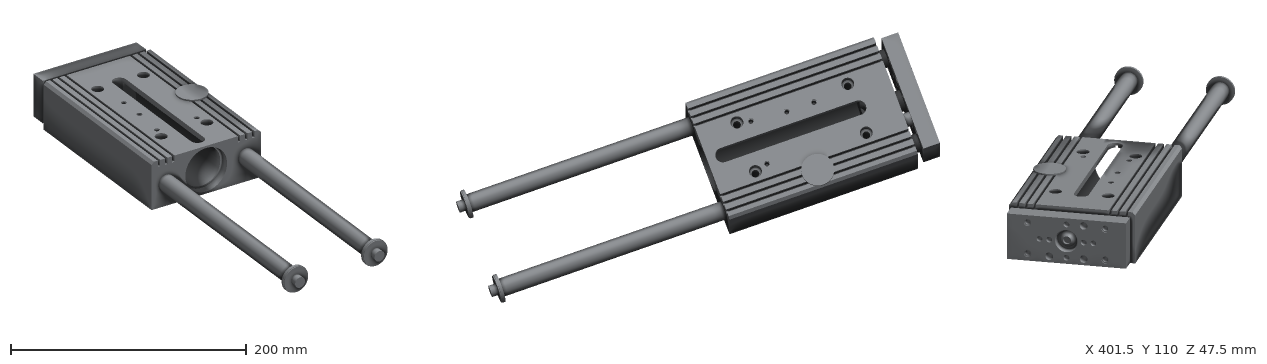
import cadquery as cq


housing_length = 170
housing_width = 110
housing_height = 46
housing_front = 21
housing_mid = housing_front + housing_length / 2
housing_back = housing_front + housing_length
edge_chamfer = 2.5

groove_width = 2.4
groove_depth = 6
groove_pitch = 7.25
groove_first_y = 33
grooves_per_side = 3

cover_diameter = 28
cover_height = 1.5

axis_z = 23
guide_rod_y = 40
guide_rod_rise = 1
guide_rod_diameter = 16
piston_rod_diameter = 18.5
side_pin_diameter = 12
side_pin_y = 21
side_pin_z = 35.5
rod_insertion = 20
rod_pocket_end = housing_front + rod_insertion

bore_diameter = 38
bore_front = 51
bore_recess_diameter = 42
bore_recess_depth = 7.6
slot_width = 13
slot_front = 48
slot_back = 183.5

mount_spacing_x = 100
mount_spacing_y = 46
mount_hole_diameter = 6.6
mount_counterbore_diameter = 11
mount_counterbore_depth = 7
tap_mouth_diameter = 5.02
tap_mouth_depth = 1
tap_core_diameter = 4.13
tap_core_depth = 8
tap_positions = [
    (88.5, -17.5),
    (113, -17.5),
    (144.5, -20),
    (144.5, 20),
]

plate_thickness = 15
plate_width = 104
plate_height = 41
plate_hole_offset = 15
clearance_diameter = 6.75
vertical_tap_diameter = 5.1
inner_dowel_diameter = 5.02
outer_dowel_diameter = 4.92
outer_dowel_offset = 23.5
corner_offset_y = 33.8
corner_offset_z = 14
corner_hole_diameter = 4.92
corner_counterbore_diameter = 6.65
corner_counterbore_depth = 1

pocket_mouth_diameter = 20
pocket_mouth_depth = 0.75
pocket_depth = 6
stud_base_diameter = 14
stud_tip_diameter = 7
stud_height = 4
stud_hole_depth = 3

washer_start = 392
washer_diameter = 25
washer_thickness = 2.5
ring_diameter = 24
ring_thickness = 1
stub_diameter = 10
stub_end = 401.5


def x_cylinder(diameter, start, end, y, z):
    """Cylinder along X between two X positions."""
    return cq.Workplane("YZ", origin=(start, y, z)).circle(diameter / 2).extrude(end - start)


def x_cone(start_diameter, end_diameter, start, end):
    """Cone along the unit axis between two X positions."""
    return (
        cq.Workplane("YZ", origin=(start, 0, axis_z))
        .circle(start_diameter / 2)
        .workplane(offset=end - start)
        .circle(end_diameter / 2)
        .loft()
    )


def guide_rod_z(side):
    """Height of the guide rod on the +Y side (1) or the -Y side (-1)."""
    return axis_z + side * guide_rod_rise


def plate_hole(diameter, y, z, depth=plate_thickness):
    """Hole cutter entering the front face of the end plate at an offset from the plate centre."""
    return x_cylinder(diameter, 0, depth, y, axis_z + z)


def make_housing_block():
    block = (
        cq.Workplane("XY", origin=(housing_mid, 0, 0))
        .box(housing_length, housing_width, housing_height, centered=(True, True, False))
        .edges("|X and >Z")
        .chamfer(edge_chamfer)
    )
    for side in (-1, 1):
        for index in range(grooves_per_side):
            groove_y = side * (groove_first_y + index * groove_pitch)
            groove = cq.Workplane("XY", origin=(housing_mid, groove_y, housing_height - groove_depth)).box(
                housing_length, groove_width, groove_depth, centered=(True, True, False)
            )
            block = block.cut(groove)
    cover = (
        cq.Workplane("XY", origin=(housing_mid, guide_rod_y, housing_height))
        .circle(cover_diameter / 2)
        .extrude(cover_height)
    )
    return block.union(cover)


def cut_cylinder_bore(housing):
    bore = x_cylinder(bore_diameter, bore_front, housing_back, 0, axis_z)
    recess = x_cylinder(bore_recess_diameter, housing_back - bore_recess_depth, housing_back, 0, axis_z)
    slot = (
        cq.Workplane("XY", origin=((slot_front + slot_back) / 2, 0, axis_z))
        .slot2D(slot_back - slot_front, slot_width)
        .extrude(housing_height - axis_z)
    )
    return housing.cut(bore).cut(recess).cut(slot)


def cut_rod_holes(housing):
    for side in (-1, 1):
        y = side * guide_rod_y
        guide = x_cylinder(guide_rod_diameter, housing_front, housing_back, y, guide_rod_z(side))
        housing = housing.cut(guide)
    piston = x_cylinder(piston_rod_diameter, housing_front, rod_pocket_end, 0, axis_z)
    pin = x_cylinder(side_pin_diameter, housing_front, rod_pocket_end, side_pin_y, side_pin_z)
    return housing.cut(piston).cut(pin)


def cut_top_holes(housing):
    top = cq.Workplane("XY", origin=(housing_mid, 0, housing_height))
    mounts = top.rarray(mount_spacing_x, mount_spacing_y, 2, 2)
    counterbores = mounts.circle(mount_counterbore_diameter / 2).extrude(-mount_counterbore_depth)
    through_holes = mounts.circle(mount_hole_diameter / 2).extrude(-housing_height)
    taps = cq.Workplane("XY", origin=(0, 0, housing_height)).pushPoints(tap_positions)
    tap_mouths = taps.circle(tap_mouth_diameter / 2).extrude(-tap_mouth_depth)
    tap_cores = taps.circle(tap_core_diameter / 2).extrude(-tap_core_depth)
    return housing.cut(counterbores).cut(through_holes).cut(tap_mouths).cut(tap_cores)


def make_end_plate():
    plate = cq.Workplane("XY", origin=(plate_thickness / 2, 0, axis_z)).box(
        plate_thickness, plate_width, plate_height
    )
    for y, z in ((-1, 1), (-1, -1), (1, -1)):
        plate = plate.cut(plate_hole(clearance_diameter, y * plate_hole_offset, z * plate_hole_offset))
    for side in (-1, 1):
        plate = plate.cut(plate_hole(vertical_tap_diameter, 0, side * plate_hole_offset))
        plate = plate.cut(plate_hole(inner_dowel_diameter, side * plate_hole_offset, 0))
        plate = plate.cut(plate_hole(outer_dowel_diameter, side * outer_dowel_offset, 0))
        for y in (-corner_offset_y, corner_offset_y):
            z = side * corner_offset_z
            plate = plate.cut(plate_hole(corner_hole_diameter, y, z))
            plate = plate.cut(plate_hole(corner_counterbore_diameter, y, z, corner_counterbore_depth))
    return plate


def add_centre_stud(plate):
    """Chamfered round pocket with a tapered, hollow-tipped stud standing on its floor."""
    pocket_mouth = x_cone(pocket_mouth_diameter, piston_rod_diameter, 0, pocket_mouth_depth)
    pocket = plate_hole(piston_rod_diameter, 0, 0, pocket_depth)
    stud_tip = pocket_depth - stud_height
    stud = x_cone(stud_tip_diameter, stud_base_diameter, stud_tip, pocket_depth)
    stud_hole = x_cylinder(stud_tip_diameter, stud_tip, stud_tip + stud_hole_depth, 0, axis_z)
    return plate.cut(pocket_mouth).cut(pocket).union(stud).cut(stud_hole)


def make_guide_rod(side):
    y = side * guide_rod_y
    z = guide_rod_z(side)
    washer_end = washer_start + washer_thickness
    ring_end = washer_end + ring_thickness
    rod = x_cylinder(guide_rod_diameter, plate_thickness, washer_start, y, z)
    washer = x_cylinder(washer_diameter, washer_start, washer_end, y, z)
    ring = x_cylinder(ring_diameter, washer_end, ring_end, y, z)
    stub = x_cylinder(stub_diameter, ring_end, stub_end, y, z)
    return rod.union(washer).union(ring).union(stub)


def make_housing():
    housing = make_housing_block()
    housing = cut_cylinder_bore(housing)
    housing = cut_rod_holes(housing)
    return cut_top_holes(housing)


def make_slide():
    slide = add_centre_stud(make_end_plate())
    for side in (-1, 1):
        slide = slide.union(make_guide_rod(side))
    piston = x_cylinder(piston_rod_diameter, plate_thickness, rod_pocket_end, 0, axis_z)
    pin = x_cylinder(side_pin_diameter, plate_thickness, rod_pocket_end, side_pin_y, side_pin_z)
    return slide.union(piston).union(pin)


housing = make_housing()
slide = make_slide()

result = cq.Compound.makeCompound([housing.val(), slide.val()])